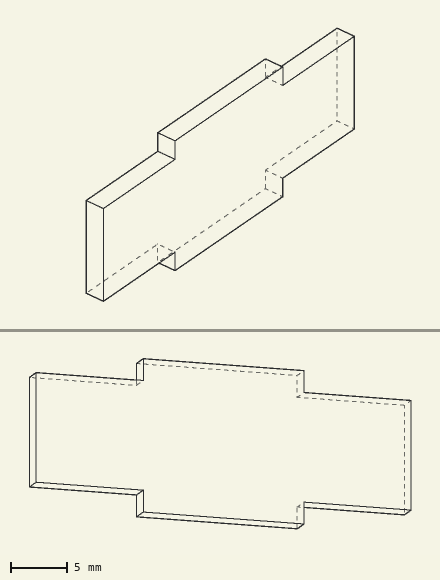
import cadquery as cq

overall_length = 35.0
body_height = 14.0
thickness = 2.0
body_length = 15.0
tab_height = 10.0

body = cq.Workplane("XY").box(thickness, body_length, body_height)

tab_strip = cq.Workplane("XY").box(thickness, overall_length, tab_height)

result = body.union(tab_strip, clean=True)